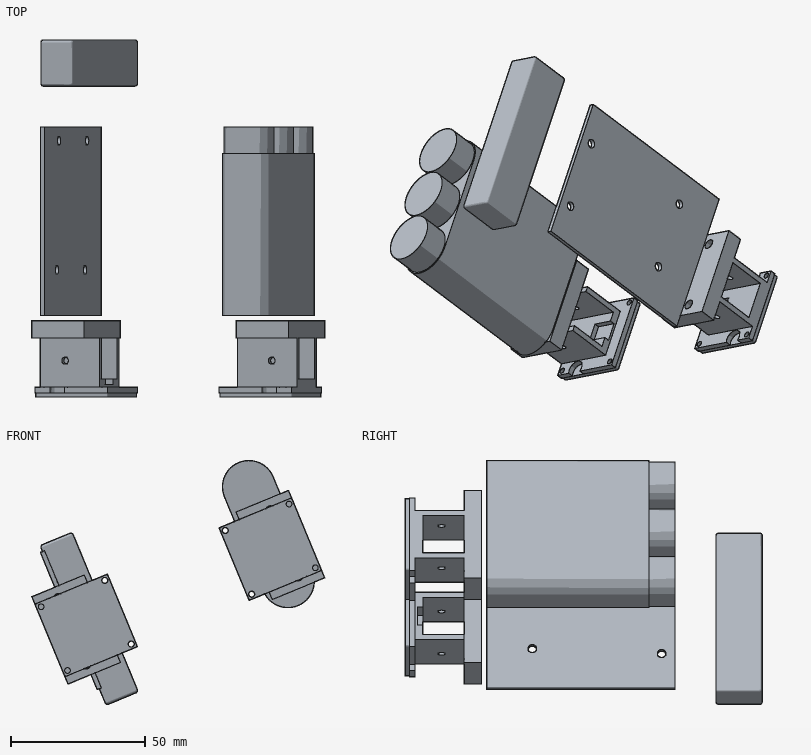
import cadquery as cq
TILT = 22.5

PANEL_SIZE = 29.2
PANEL_THICKNESS = 1.6
PANEL_CORNER_RADIUS = 0.9
PANEL_X = 37.1
CORNER_HOLE_DIAMETER = 2.1
CORNER_HOLE_SPACING = 25.6
OUTER_X = PANEL_X + PANEL_SIZE / 2

BACKING_THICKNESS = 2.1
BOX_LENGTH = 18.2
BOX_WIDTH = 23.9
BOX_HEIGHT = 19.1
BOX_WALL = 2.1
BOX_FRONT_WALL = 2.9
FOOT_THICKNESS = 6.5
FOOT_WIDTH = 21.1
FOOT_HEIGHT = 35.2

SCREW_X = OUTER_X - 9.0
FOOT_HOLE_DIAMETER = 3.7
FOOT_HOLE_SPACING = 26.3
DRIVER_NOTCH_DIAMETER = 6.6
WALL_HOLE_DIAMETER = 2.7
WALL_HOLE_X = OUTER_X - 10.1
WALL_HOLE_Y = 13.5

NOTCH_LENGTH = 2.0
NOTCH_HEIGHT = 7.2
NOTCH_DEPTH = 8.4

BOX_FRONT_Y = PANEL_THICKNESS + BACKING_THICKNESS
FOOT_FRONT_Y = BOX_FRONT_Y + BOX_LENGTH
FOOT_BACK_Y = FOOT_FRONT_Y + FOOT_THICKNESS

REAR_GAP = 1.9
REAR_FRONT_Y = FOOT_BACK_Y + REAR_GAP
REAR_LENGTH = 70.2

BOARD_THICKNESS = 1.7
BOARD_HEIGHT = 55.3
BOARD_X = -41.6
BOARD_Z = 4.0
BOARD_HOLE_DIAMETER = 3.2
BOARD_HOLE_SPACING = 27.2
BOARD_FRONT_HOLES = (17.0, 1.9)
BOARD_BACK_HOLES = (65.1, -0.1)

CASE_RADIUS = 9.8
CELL_RADIUS = 9.3
CELL_PITCH = 19.0
CELL_COUNT = 3
CELL_PROTRUSION = 9.8
CASE_LENGTH = REAR_LENGTH - CELL_PROTRUSION
PACK_X = 38.5
PACK_Z = 5.5

BLOCK_WIDTH = 13.0
BLOCK_LENGTH = 17.3
BLOCK_HEIGHT = 64.3
BLOCK_EDGE_RADIUS = 1.0
BLOCK_X = -35.1
BLOCK_Z = 1.9
BLOCK_FRONT_Y = 115.6


def block(width, length, height, x, front_y, z):
    """Box centred on x and z that reaches back from front_y."""
    return cq.Workplane("XY").box(width, length, height).translate((x, front_y + length / 2, z))


def rod(diameter, x, z, front_y, length):
    """Cylinder along Y that reaches back from front_y."""
    return (
        cq.Workplane("XZ", origin=(0, front_y, 0))
        .circle(diameter / 2)
        .extrude(-length)
        .translate((x, 0, z))
    )


def corner_holes(front_y, depth):
    """Four rods at the fixing corners of the right-hand panel."""
    rods = cq.Workplane("XY")
    for x_side in (-1, 1):
        for z_side in (-1, 1):
            x = PANEL_X + x_side * CORNER_HOLE_SPACING / 2
            z = z_side * CORNER_HOLE_SPACING / 2
            rods = rods.add(rod(CORNER_HOLE_DIAMETER, x, z, front_y, depth))
    return rods.combine()


def make_panel():
    """Right-hand front panel: a square with rounded corners and four holes."""
    panel = block(PANEL_SIZE, PANEL_THICKNESS, PANEL_SIZE, PANEL_X, 0, 0)
    panel = panel.edges("|Y").fillet(PANEL_CORNER_RADIUS)
    return panel.cut(corner_holes(0, PANEL_THICKNESS))


def make_mount():
    """Right-hand mount: panel backing, box open at both sides, and screw-down foot."""
    backing = block(PANEL_SIZE, BACKING_THICKNESS, PANEL_SIZE, PANEL_X, PANEL_THICKNESS, 0)
    backing = backing.cut(corner_holes(PANEL_THICKNESS, BACKING_THICKNESS))

    box_x = OUTER_X - BOX_WIDTH / 2
    window_height = BOX_HEIGHT - 2 * BOX_WALL
    window_length = BOX_LENGTH - BOX_FRONT_WALL
    window_y = BOX_FRONT_Y + BOX_FRONT_WALL
    box = block(BOX_WIDTH, BOX_LENGTH, BOX_HEIGHT, box_x, BOX_FRONT_Y, 0)
    box = box.cut(block(BOX_WIDTH, window_length, window_height, box_x, window_y, 0))

    notch_x = OUTER_X - BOX_WIDTH + NOTCH_DEPTH / 2
    box = box.cut(block(NOTCH_DEPTH, NOTCH_LENGTH, NOTCH_HEIGHT, notch_x, window_y - NOTCH_LENGTH, 0))

    wall_hole = cq.Workplane("XY").circle(WALL_HOLE_DIAMETER / 2).extrude(BOX_HEIGHT / 2, both=True)
    box = box.cut(wall_hole.translate((WALL_HOLE_X, WALL_HOLE_Y, 0)))

    foot_x = OUTER_X - FOOT_WIDTH / 2
    foot = block(FOOT_WIDTH, FOOT_THICKNESS, FOOT_HEIGHT, foot_x, FOOT_FRONT_Y, 0)

    for z in (-FOOT_HOLE_SPACING / 2, FOOT_HOLE_SPACING / 2):
        backing = backing.cut(rod(DRIVER_NOTCH_DIAMETER, SCREW_X, z, PANEL_THICKNESS, BACKING_THICKNESS))
        foot = foot.cut(rod(FOOT_HOLE_DIAMETER, SCREW_X, z, FOOT_FRONT_Y, FOOT_THICKNESS))
    return backing.union(box).union(foot)


def make_board():
    """Circuit board on edge, with a pair of holes near each end."""
    board = block(BOARD_THICKNESS, REAR_LENGTH, BOARD_HEIGHT, BOARD_X, REAR_FRONT_Y, BOARD_Z)
    for distance, middle_z in (BOARD_FRONT_HOLES, BOARD_BACK_HOLES):
        for z_side in (-1, 1):
            hole = cq.Workplane("YZ").circle(BOARD_HOLE_DIAMETER / 2).extrude(BOARD_THICKNESS / 2, both=True)
            z = BOARD_Z + middle_z + z_side * BOARD_HOLE_SPACING / 2
            board = board.cut(hole.translate((BOARD_X, REAR_FRONT_Y + distance, z)))
    return board


def make_battery_pack():
    """Stack of round cells whose rear ends stand out of a round-ended case."""
    stack_height = (CELL_COUNT - 1) * CELL_PITCH
    bottom_z = PACK_Z - stack_height / 2
    pack = block(2 * CASE_RADIUS, CASE_LENGTH, stack_height, PACK_X, REAR_FRONT_Y, PACK_Z)
    for z in (bottom_z, bottom_z + stack_height):
        pack = pack.union(rod(2 * CASE_RADIUS, PACK_X, z, REAR_FRONT_Y, CASE_LENGTH))
    for cell in range(CELL_COUNT):
        z = bottom_z + cell * CELL_PITCH
        pack = pack.union(rod(2 * CELL_RADIUS, PACK_X, z, REAR_FRONT_Y, REAR_LENGTH))
    return pack


def make_receiver():
    """Receiver block with every edge rounded."""
    receiver = block(BLOCK_WIDTH, BLOCK_LENGTH, BLOCK_HEIGHT, BLOCK_X, BLOCK_FRONT_Y, BLOCK_Z)
    return receiver.edges().fillet(BLOCK_EDGE_RADIUS)


def tilted(body):
    """Lean an upright body about the Y axis, +X side up."""
    return body.rotate((0, 0, 0), (0, 1, 0), -TILT)


bodies = [make_board(), make_battery_pack(), make_receiver()]
for right_hand_body in (make_panel(), make_mount()):
    bodies.append(right_hand_body)
    bodies.append(right_hand_body.mirror("YZ"))

result = cq.Compound.makeCompound([tilted(body).val() for body in bodies])